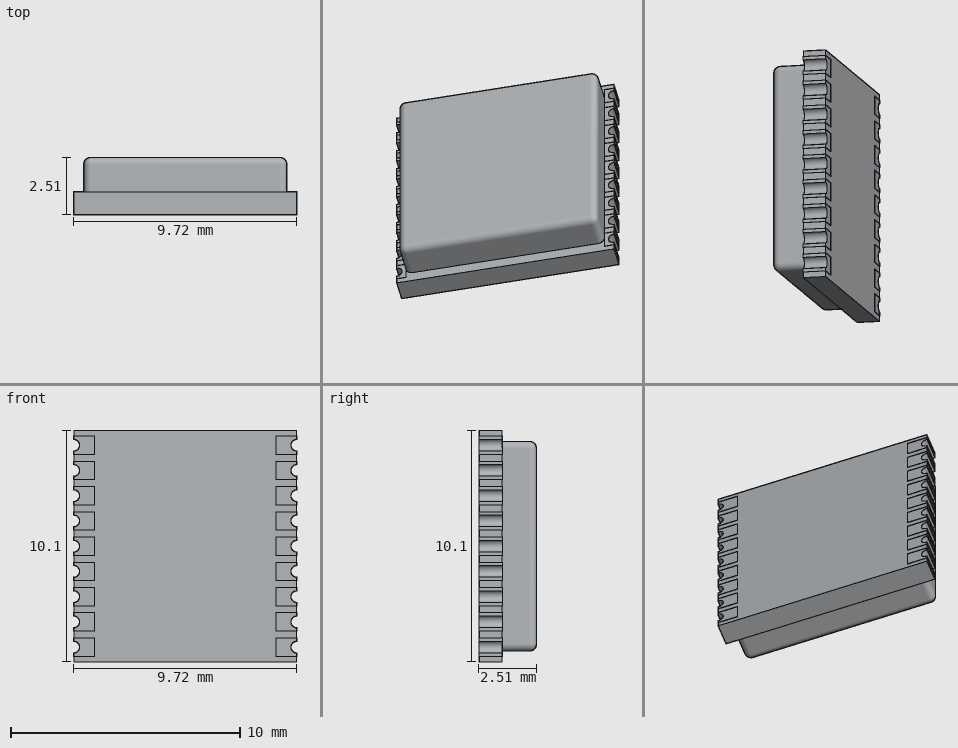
import cadquery as cq

board_width = 9.7
board_height = 10.1
board_thickness = 1.0

can_width = 8.86
can_height = 9.14
can_depth = 1.5
can_radius = 0.3

pads_per_side = 9
pad_pitch = 1.1
pad_height = 0.8
pad_length = 0.9
metal_thickness = 0.01

notch_radius = 0.25

pad_outer_x = board_width / 2 + metal_thickness
pad_inner_x = board_width / 2 - pad_length
can_wall_x = can_width / 2
pad_front_y = -metal_thickness
pad_back_y = board_thickness + metal_thickness
first_pad_z = -pad_pitch * (pads_per_side - 1) / 2
pad_positions = [
    (side, first_pad_z + index * pad_pitch)
    for side in (-1, 1)
    for index in range(pads_per_side)
]


def make_board():
    """Plain rectangular board."""
    return cq.Workplane("XY").box(
        board_width, board_thickness, board_height, centered=(True, False, True)
    )


def make_can():
    """Shield can with rounded corners and a rounded +Y rim."""
    can = (
        cq.Workplane("XY")
        .box(can_width, can_depth, can_height, centered=(True, False, True))
        .translate((0, board_thickness, 0))
    )
    return can.edges("|Y").fillet(can_radius).faces(">Y").edges().fillet(can_radius)


def make_pad(side, z):
    """Pad wrapped around the board edge; on the +Y face it stops at the can wall."""
    return (
        cq.Workplane("XY")
        .workplane(offset=z - pad_height / 2)
        .moveTo(side * pad_inner_x, pad_front_y)
        .lineTo(side * pad_outer_x, pad_front_y)
        .lineTo(side * pad_outer_x, pad_back_y)
        .lineTo(side * can_wall_x, pad_back_y)
        .lineTo(side * can_wall_x, board_thickness)
        .lineTo(side * pad_inner_x, board_thickness)
        .close()
        .extrude(pad_height)
    )


def make_notch(side, z):
    """Cylinder along Y, centred on the outer pad face, cutting through board and pad."""
    return (
        cq.Workplane("XZ", origin=(0, pad_back_y, 0))
        .center(side * pad_outer_x, z)
        .circle(notch_radius)
        .extrude(pad_back_y - pad_front_y)
    )


result = make_board().union(make_can())
for side, z in pad_positions:
    result = result.union(make_pad(side, z)).cut(make_notch(side, z))